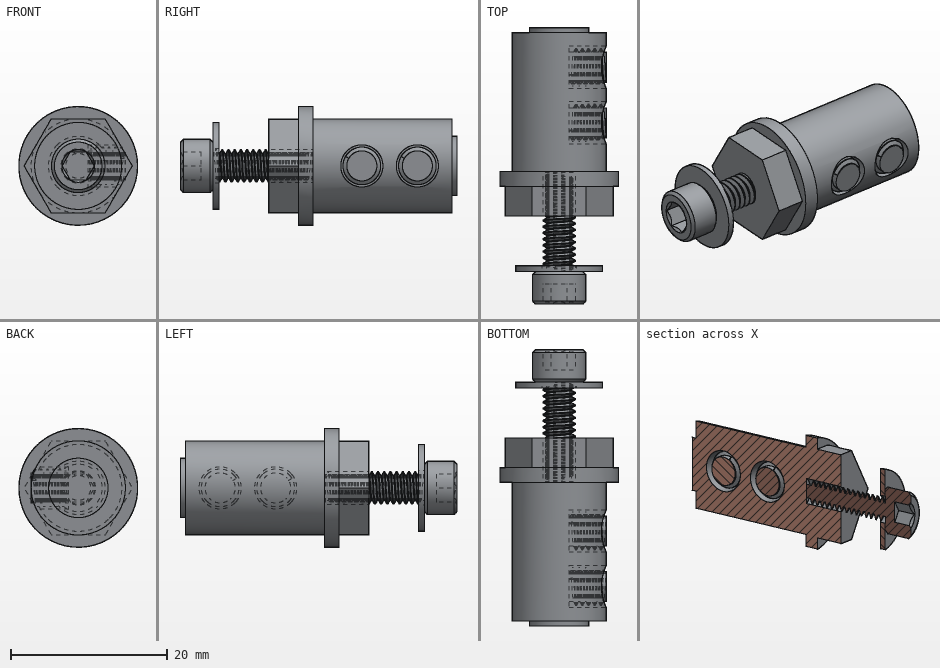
import cadquery as cq
import math


corners_per_flats = 1 / math.cos(math.pi / 6)

hex_flats = 12.0
hex_length = 3.81
flange_diameter = 15.24
flange_length = 1.905
barrel_diameter = 12.065
barrel_length = 17.78
boss_diameter = 7.62
boss_length = 0.635

flange_start = hex_length
barrel_start = flange_start + flange_length
boss_start = barrel_start + barrel_length

inch = 25.4
threads_per_inch = 32
thread_pitch = inch / threads_per_inch
cap_major_diameter = 4.166
cap_hole_diameter = 4.2
cap_length = 12.7
head_diameter = 6.858
head_height = 4.166
head_chamfer = 0.38
socket_flats = 3.57
socket_depth = 2.6
socket_mouth_diameter = 4.2
mouth_depth = (socket_mouth_diameter - socket_flats) / 2
cap_thread_angle = 253
washer_gap = 6.35
washer_outer_diameter = 11.15
washer_inner_diameter = 4.4
washer_thickness = 0.774

head_underside = -washer_gap - washer_thickness
cap_hole_depth = cap_length + head_underside

set_major_diameter = 4.826
set_length = 4.76
set_thread_angle = -60
set_hole_diameter = 5.4
set_spacing = 7.112
set_end_distance = 4.445
set_count = 2
set_positions = [boss_start - set_end_distance - i * set_spacing for i in range(set_count)]
set_outer_x = barrel_diameter / 2
set_floor_x = set_outer_x - set_length

depth_ratio = 0.6134
flank_angle = math.radians(30)
thread_depth = depth_ratio * thread_pitch
crest_width = thread_pitch / 8
root_embed = 0.05
ridge_width = crest_width + 2 * (thread_depth + root_embed) * math.tan(flank_angle)
thread_runout = 0.36


def cylinder_y(diameter, start, length):
    """Cylinder along +Y from y = start."""
    return cq.Workplane("XZ", origin=(0, start, 0)).circle(diameter / 2).extrude(-length)


def threaded_rod(major_diameter, length, start_angle):
    """Right-hand threaded rod along +Z from z = 0; the thread begins start_angle degrees from +X."""
    root_radius = major_diameter / 2 - thread_depth
    ridge_bottom = root_radius - root_embed
    ridge_length = length - 2 * thread_runout
    helix = cq.Wire.makeHelix(thread_pitch, ridge_length, root_radius)
    ridge = (
        cq.Workplane("XZ")
        .moveTo(ridge_bottom, -ridge_width / 2)
        .lineTo(major_diameter / 2, -crest_width / 2)
        .lineTo(major_diameter / 2, crest_width / 2)
        .lineTo(ridge_bottom, ridge_width / 2)
        .close()
        .sweep(helix, isFrenet=True)
        .translate((0, 0, thread_runout))
    )
    rod = cq.Workplane("XY").circle(root_radius).extrude(length).union(ridge)
    return rod.rotate((0, 0, 0), (0, 0, 1), start_angle)


def make_post():
    hexagon = cq.Workplane("XZ").polygon(6, hex_flats * corners_per_flats).extrude(-hex_length)
    post = hexagon.union(cylinder_y(flange_diameter, flange_start, flange_length))
    post = post.union(cylinder_y(barrel_diameter, barrel_start, barrel_length))
    post = post.union(cylinder_y(boss_diameter, boss_start, boss_length))
    post = post.cut(cylinder_y(cap_hole_diameter, 0, cap_hole_depth))
    for y in set_positions:
        floor_plane = cq.Workplane("YZ", origin=(set_floor_x, y, 0))
        post = post.cut(floor_plane.circle(set_hole_diameter / 2).extrude(set_length))
    return post


def make_washer():
    outer = cylinder_y(washer_outer_diameter, -washer_gap, -washer_thickness)
    return outer.cut(cylinder_y(washer_inner_diameter, -washer_gap, -washer_thickness))


def make_cap_screw():
    """Socket head cap screw, built with its shank along +Z and then turned to point along +Y."""
    head = cq.Workplane("XY").circle(head_diameter / 2).extrude(-head_height).edges().chamfer(head_chamfer)
    socket = (
        cq.Workplane("XY", origin=(0, 0, -head_height))
        .polygon(6, socket_flats * corners_per_flats)
        .extrude(socket_depth)
    )
    mouth_radius = socket_mouth_diameter / 2
    mouth_cone = cq.Solid.makeCone(mouth_radius, mouth_radius - mouth_depth, mouth_depth)
    mouth = mouth_cone.translate(cq.Vector(0, 0, -head_height))
    shank = threaded_rod(cap_major_diameter, cap_length, cap_thread_angle)
    screw = head.cut(socket).cut(mouth).union(shank)
    return screw.rotate((0, 0, 0), (1, 0, 0), -90).translate((0, head_underside, 0))


def make_set_screw(y):
    """Headless screw along X, its outer end level with the barrel's +X side."""
    screw = threaded_rod(set_major_diameter, set_length, set_thread_angle)
    screw = screw.rotate((0, 0, 0), (0, 1, 0), -90)
    return screw.translate((set_outer_x, y, 0))


post = make_post()
washer = make_washer()
cap_screw = make_cap_screw()
set_screws = [make_set_screw(y) for y in set_positions]

result = cq.Compound.makeCompound(
    [
        post.solids().val(),
        washer.solids().val(),
        cap_screw.solids().val(),
        *[screw.solids().val() for screw in set_screws],
    ]
)